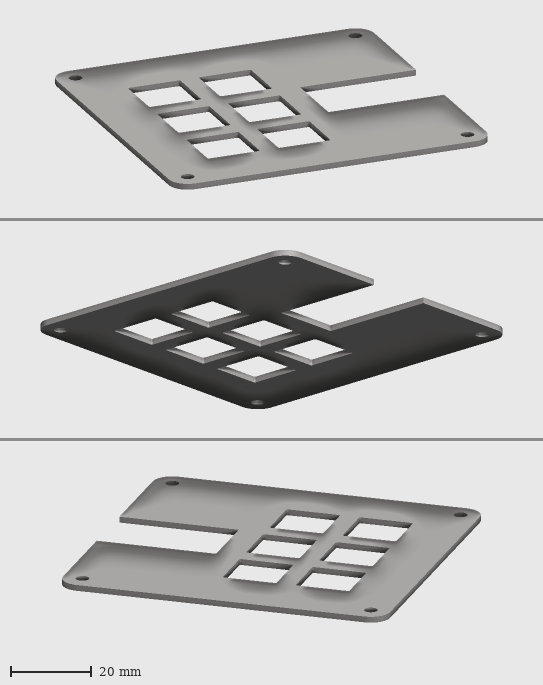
import cadquery as cq

plate_width = 82.9
plate_length = 85.3
plate_thickness = 1.5
corner_radius = 5.0

hole_diameter = 3.4
hole_spacing_x = plate_width - 2 * corner_radius
hole_spacing_y = plate_length - 2 * corner_radius

notch_width = 18.3
notch_depth = 31.1

key_columns = 3
key_rows = 2
key_size = 14.0
key_pitch = 19.0
key_corner_radius = 0.4
key_grid_x = 1.0
key_grid_y = -11.8


def make_plate():
    """Rounded plate centred on the origin."""
    plate = cq.Workplane("XY").box(plate_width, plate_length, plate_thickness)
    return plate.edges("|Z").fillet(corner_radius)


def make_mounting_holes():
    """Cutters for the four corner holes."""
    return (
        cq.Workplane("XY")
        .rect(hole_spacing_x, hole_spacing_y, forConstruction=True)
        .vertices()
        .circle(hole_diameter / 2)
        .extrude(plate_thickness, both=True)
    )


def make_notch():
    """Cutter for the notch, flush with the +Y edge."""
    notch_y = (plate_length - notch_depth) / 2
    return cq.Workplane("XY").center(0, notch_y).box(notch_width, notch_depth, 2 * plate_thickness)


def make_key_openings():
    """Cutters for the key openings, with slightly rounded corners."""
    return (
        cq.Workplane("XY")
        .center(key_grid_x, key_grid_y)
        .rarray(key_pitch, key_pitch, key_columns, key_rows)
        .rect(key_size, key_size)
        .extrude(plate_thickness, both=True)
        .edges("|Z")
        .fillet(key_corner_radius)
    )


result = make_plate().cut(make_mounting_holes()).cut(make_notch()).cut(make_key_openings())